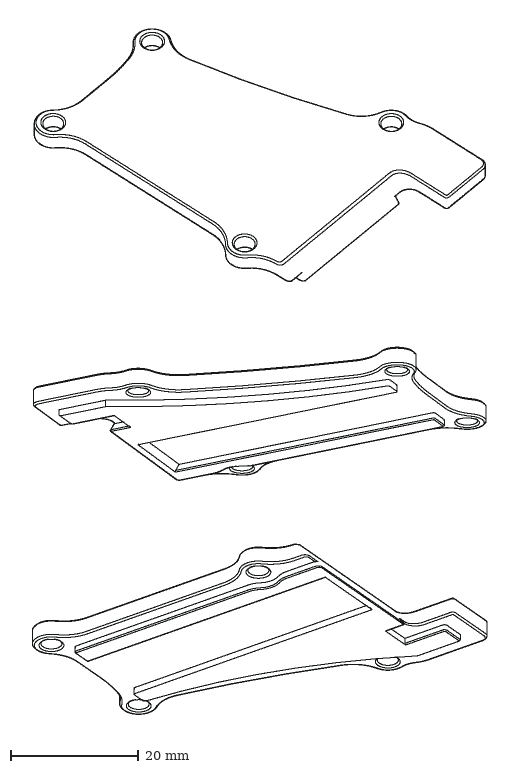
import math

import cadquery as cq

PLATE_THICKNESS = 3.0
EDGE_CHAMFER = 0.3
FRONT_Y = 0.0
LEFT_X = 0.0
BACK_Y = 38.51

HOLE_DIAMETER = 3.3
BOSS_RADIUS = 3.0
BLEND_RADIUS = 6.0
FRONT_LEFT = (0.0, 0.0)
FRONT_RIGHT = (40.0, 0.0)
BACK_LEFT = (0.0, 23.6)
BACK_RIGHT = (40.0, 35.0)
HOLES = [FRONT_LEFT, FRONT_RIGHT, BACK_LEFT, BACK_RIGHT]

LEFT_ARC_START_Y = 13.1
LEFT_ARC_RADIUS = 27.0
BACK_ARC_CENTER = (-32.6, 220.8)
BACK_ARC_RADIUS = 200.0

WAVE_DEPTH = 0.75
WAVE_VALLEY_RADIUS = 4.0
WAVE_CREST_RADIUS = 6.0

ARM_END_X = 57.4
ARM_FRONT_Y = 28.4
ARM_CORNER_RADIUS = 1.5
ARM_FRONT_CORNER_RADIUS = 0.5

WALL_TOP_X = 47.36
WALL_SLOPE = math.tan(math.radians(35.0))
NOTCH_CORNER_RADIUS = 1.9
WALL_FRONT_CORNER_RADIUS = 0.8

LIP_DEPTH = 1.1
LIP_LEFT_X = 2.6
LIP_FRONT_Y = 2.4
LIP_RIGHT_BACK_Y = 25.5
LIP_LEFT_BACK_Y = 21.4
LIP_BACK_Y = 34.6
LIP_BACK_START_X = 46.0
LIP_BACK_MID = (25.0, 25.6)
LIP_ARM_INNER_X = 46.5
LIP_ARM_FRONT_Y = 30.5
LIP_ARM_END_X = 54.3
LIP_CORNER_RADIUS = 0.5
LIP_WALL_FRONT_RADIUS = 0.7
LIP_WALL_BACK_RADIUS = 0.3
LIP_EDGE_CHAMFER = 0.2
LIP_RELIEF_RADIUS = 3.4
LIP_RELIEF_BLEND = 4.0

CHANNEL_FRONT_Y = 6.1
CHANNEL_BACK_Y = 18.5
CHANNEL_MOUTH_RADIUS = 0.3
CHANNEL_END_WIDTH = 1.5

OVERCUT = 10.0


def toward(start, end, distance):
    """Point at a distance from start in the direction of end."""
    length = math.dist(start, end)
    return (
        start[0] + (end[0] - start[0]) * distance / length,
        start[1] + (end[1] - start[1]) * distance / length,
    )


def circle_meeting(center_a, radius_a, center_b, radius_b):
    """Crossing of two circles that lies to the left of the ray from a to b."""
    gap = math.dist(center_a, center_b)
    along = (gap**2 + radius_a**2 - radius_b**2) / (2 * gap)
    aside = math.sqrt(radius_a**2 - along**2)
    ux = (center_b[0] - center_a[0]) / gap
    uy = (center_b[1] - center_a[1]) / gap
    return (center_a[0] + along * ux - aside * uy, center_a[1] + along * uy + aside * ux)


def arc_to(sketch, start, end, center):
    """Draw the shorter arc about center from start to end."""
    chord_middle = ((start[0] + end[0]) / 2, (start[1] + end[1]) / 2)
    return sketch.threePointArc(toward(center, chord_middle, math.dist(center, start)), end)


def boss_arc(sketch, boss, outward, end):
    """Draw round a boss through the point that faces the outward direction."""
    facing = (boss[0] + outward[0], boss[1] + outward[1])
    return sketch.threePointArc(toward(boss, facing, BOSS_RADIUS), end)


def plate_outline():
    """Plate outline, squared off on the right; the notch and sloped wall are cut later."""
    reach = BOSS_RADIUS + BLEND_RADIUS
    blend_run = math.sqrt(reach**2 - BLEND_RADIUS**2)

    fl_front = (FRONT_LEFT[0] + blend_run, FRONT_Y - BLEND_RADIUS)
    fl_left = (LEFT_X - BLEND_RADIUS, FRONT_LEFT[1] + blend_run)
    fr_left = (FRONT_RIGHT[0] - blend_run, FRONT_Y - BLEND_RADIUS)
    fr_right = (FRONT_RIGHT[0] + blend_run, FRONT_Y - BLEND_RADIUS)
    left_arc = (LEFT_X - LEFT_ARC_RADIUS, LEFT_ARC_START_Y)
    bl_left = circle_meeting(BACK_LEFT, reach, left_arc, LEFT_ARC_RADIUS - BLEND_RADIUS)
    back_reach = BACK_ARC_RADIUS - BLEND_RADIUS
    bl_back = circle_meeting(BACK_ARC_CENTER, back_reach, BACK_LEFT, reach)
    br_back = circle_meeting(BACK_RIGHT, reach, BACK_ARC_CENTER, back_reach)

    valley_y = BACK_Y - WAVE_DEPTH + WAVE_VALLEY_RADIUS
    valley_reach = BOSS_RADIUS + WAVE_VALLEY_RADIUS
    valley_x = BACK_RIGHT[0] + math.sqrt(valley_reach**2 - (valley_y - BACK_RIGHT[1])**2)
    valley = (valley_x, valley_y)
    crest_y = BACK_Y - WAVE_CREST_RADIUS
    crest_reach = WAVE_VALLEY_RADIUS + WAVE_CREST_RADIUS
    crest = (valley_x + math.sqrt(crest_reach**2 - (valley_y - crest_y)**2), crest_y)

    start = toward(FRONT_LEFT, fl_front, BOSS_RADIUS)
    sketch = cq.Workplane("XY").moveTo(*start)
    sketch = arc_to(sketch, start, (fl_front[0], FRONT_Y), fl_front)
    sketch = sketch.lineTo(fr_left[0], FRONT_Y)
    boss_start = toward(FRONT_RIGHT, fr_left, BOSS_RADIUS)
    boss_end = toward(FRONT_RIGHT, fr_right, BOSS_RADIUS)
    sketch = arc_to(sketch, (fr_left[0], FRONT_Y), boss_start, fr_left)
    sketch = boss_arc(sketch, FRONT_RIGHT, (0, -1), boss_end)
    sketch = arc_to(sketch, boss_end, (fr_right[0], FRONT_Y), fr_right)

    sketch = sketch.lineTo(ARM_END_X, FRONT_Y).lineTo(ARM_END_X, BACK_Y - ARM_CORNER_RADIUS)
    sketch = sketch.radiusArc((ARM_END_X - ARM_CORNER_RADIUS, BACK_Y), -ARM_CORNER_RADIUS)
    sketch = sketch.lineTo(crest[0], BACK_Y)
    inflection = toward(valley, crest, WAVE_VALLEY_RADIUS)
    boss_start = toward(BACK_RIGHT, valley, BOSS_RADIUS)
    sketch = arc_to(sketch, (crest[0], BACK_Y), inflection, crest)
    sketch = arc_to(sketch, inflection, boss_start, valley)

    boss_end = toward(BACK_RIGHT, br_back, BOSS_RADIUS)
    edge_start = toward(BACK_ARC_CENTER, br_back, BACK_ARC_RADIUS)
    edge_end = toward(BACK_ARC_CENTER, bl_back, BACK_ARC_RADIUS)
    boss_start = toward(BACK_LEFT, bl_back, BOSS_RADIUS)
    sketch = boss_arc(sketch, BACK_RIGHT, (-1, 2), boss_end)
    sketch = arc_to(sketch, boss_end, edge_start, br_back)
    sketch = arc_to(sketch, edge_start, edge_end, BACK_ARC_CENTER)
    sketch = arc_to(sketch, edge_end, boss_start, bl_back)
    boss_end = toward(BACK_LEFT, bl_left, BOSS_RADIUS)
    sketch = boss_arc(sketch, BACK_LEFT, (-1, 0), boss_end)

    edge_start = toward(left_arc, bl_left, LEFT_ARC_RADIUS)
    sketch = arc_to(sketch, boss_end, edge_start, bl_left)
    sketch = arc_to(sketch, edge_start, (LEFT_X, LEFT_ARC_START_Y), left_arc)
    sketch = sketch.lineTo(LEFT_X, fl_left[1])
    boss_end = toward(FRONT_LEFT, fl_left, BOSS_RADIUS)
    sketch = arc_to(sketch, (LEFT_X, fl_left[1]), boss_end, fl_left)
    sketch = boss_arc(sketch, FRONT_LEFT, (-1, -1), start)
    return sketch.close()


def wall_x(z):
    """X of the sloped wall at height z."""
    return WALL_TOP_X + WALL_SLOPE * (PLATE_THICKNESS - z)


def leaning_prism(outline, bottom):
    """Prism from a bottom level to the plate top that leans with the sloped wall."""
    height = PLATE_THICKNESS - bottom
    lean = cq.Vector(-WALL_SLOPE * height, 0, height)
    return cq.Workplane(cq.Solid.extrudeLinear(outline.wire().val(), [], lean))


def notch():
    """Space in front of the arm, bounded on the left by the sloped wall."""
    x = wall_x(-LIP_DEPTH)
    far_x = ARM_END_X + OVERCUT
    outline = (
        cq.Workplane("XY", origin=(0, 0, -LIP_DEPTH))
        .moveTo(x, -OVERCUT)
        .lineTo(far_x, -OVERCUT)
        .lineTo(far_x, ARM_FRONT_Y)
        .lineTo(x, ARM_FRONT_Y)
        .close()
    )
    return leaning_prism(outline, -LIP_DEPTH)


def wall_edge(z, y):
    """Selector of the sloped edge where the right wall meets a face at the given y."""
    return cq.selectors.NearestToPointSelector((wall_x(z), y, z))


def make_plate():
    """Plate with its arm and sloped wall, chamfered round the top and bottom."""
    middle_z = PLATE_THICKNESS / 2
    plate = plate_outline().extrude(PLATE_THICKNESS).cut(notch())
    arm_corner = cq.selectors.NearestToPointSelector((ARM_END_X, ARM_FRONT_Y, middle_z))
    plate = plate.edges(arm_corner).fillet(ARM_FRONT_CORNER_RADIUS)
    plate = plate.edges(wall_edge(middle_z, ARM_FRONT_Y)).fillet(NOTCH_CORNER_RADIUS)
    plate = plate.edges(wall_edge(middle_z, FRONT_Y)).fillet(WALL_FRONT_CORNER_RADIUS)
    return plate.faces("<Z or >Z").edges().chamfer(EDGE_CHAMFER)


def lip_outline():
    """Lip outline: a main body with a short arm at the back right."""
    right_x = wall_x(-LIP_DEPTH) + OVERCUT
    return (
        cq.Workplane("XY", origin=(0, 0, -LIP_DEPTH))
        .moveTo(LIP_LEFT_X, LIP_FRONT_Y)
        .lineTo(right_x, LIP_FRONT_Y)
        .lineTo(right_x, LIP_RIGHT_BACK_Y)
        .lineTo(LIP_ARM_INNER_X, LIP_RIGHT_BACK_Y)
        .lineTo(LIP_ARM_INNER_X, LIP_ARM_FRONT_Y)
        .lineTo(LIP_ARM_END_X, LIP_ARM_FRONT_Y)
        .lineTo(LIP_ARM_END_X, LIP_BACK_Y)
        .lineTo(LIP_BACK_START_X, LIP_BACK_Y)
        .threePointArc(LIP_BACK_MID, (LIP_LEFT_X, LIP_LEFT_BACK_Y))
        .close()
    )


def vertical_edge(x, y):
    """Selector of a vertical lip edge."""
    return cq.selectors.NearestToPointSelector((x, y, -LIP_DEPTH / 2))


def channel():
    """Channel across the lip whose right end runs parallel to the sloped wall."""
    left_x = LIP_LEFT_X - OVERCUT
    end_x = wall_x(-LIP_DEPTH) - CHANNEL_END_WIDTH
    outline = (
        cq.Workplane("XY", origin=(0, 0, -LIP_DEPTH))
        .moveTo(left_x, CHANNEL_FRONT_Y)
        .lineTo(end_x, CHANNEL_FRONT_Y)
        .lineTo(end_x, CHANNEL_BACK_Y)
        .lineTo(left_x, CHANNEL_BACK_Y)
        .close()
    )
    return leaning_prism(outline, -LIP_DEPTH)


def screw_relief():
    """Rounded recess that keeps the lip front edge clear of the front-right screw."""
    reach = LIP_RELIEF_RADIUS + LIP_RELIEF_BLEND
    blend_y = LIP_FRONT_Y + LIP_RELIEF_BLEND
    blend_run = math.sqrt(reach**2 - (blend_y - FRONT_RIGHT[1])**2)
    left_blend = (FRONT_RIGHT[0] - blend_run, blend_y)
    right_blend = (FRONT_RIGHT[0] + blend_run, blend_y)
    start = (left_blend[0], LIP_FRONT_Y)
    end = (right_blend[0], LIP_FRONT_Y)
    relief_start = toward(FRONT_RIGHT, left_blend, LIP_RELIEF_RADIUS)
    relief_end = toward(FRONT_RIGHT, right_blend, LIP_RELIEF_RADIUS)
    sketch = cq.Workplane("XY", origin=(0, 0, -LIP_DEPTH)).moveTo(*start)
    sketch = arc_to(sketch, start, relief_start, left_blend)
    sketch = arc_to(sketch, relief_start, relief_end, FRONT_RIGHT)
    sketch = arc_to(sketch, relief_end, end, right_blend)
    return sketch.close().extrude(LIP_DEPTH + EDGE_CHAMFER)


def make_lip():
    """Lip, set into the plate by the chamfer height so that the sloped wall runs through."""
    lip = lip_outline().extrude(LIP_DEPTH + EDGE_CHAMFER)
    lip = lip.cut(notch()).cut(screw_relief()).cut(channel())
    for y in (LIP_FRONT_Y, LIP_LEFT_BACK_Y):
        lip = lip.edges(vertical_edge(LIP_LEFT_X, y)).fillet(LIP_CORNER_RADIUS)
    for y in (CHANNEL_FRONT_Y, CHANNEL_BACK_Y):
        lip = lip.edges(vertical_edge(LIP_LEFT_X, y)).fillet(CHANNEL_MOUTH_RADIUS)
    lip = lip.edges(vertical_edge(LIP_ARM_END_X, LIP_ARM_FRONT_Y)).fillet(LIP_CORNER_RADIUS)
    middle_z = (EDGE_CHAMFER - LIP_DEPTH) / 2
    lip = lip.edges(wall_edge(middle_z, LIP_FRONT_Y)).fillet(LIP_WALL_FRONT_RADIUS)
    lip = lip.edges(wall_edge(middle_z, LIP_RIGHT_BACK_Y)).fillet(LIP_WALL_BACK_RADIUS)

    arm_edges = cq.selectors.BoxSelector(
        (LIP_ARM_INNER_X + LIP_CORNER_RADIUS, LIP_RIGHT_BACK_Y, -2 * LIP_DEPTH),
        (ARM_END_X, LIP_BACK_Y - LIP_CORNER_RADIUS, -LIP_DEPTH / 2),
    )
    return lip.faces("<Z").edges(arm_edges).chamfer(LIP_EDGE_CHAMFER)


def make_holes():
    """Screw holes, chamfered at the plate top and bottom."""
    radius = HOLE_DIAMETER / 2
    mouth_radius = radius + EDGE_CHAMFER
    profile = (
        cq.Workplane("XZ")
        .polyline([
            (0, 0),
            (mouth_radius, 0),
            (radius, EDGE_CHAMFER),
            (radius, PLATE_THICKNESS - EDGE_CHAMFER),
            (mouth_radius, PLATE_THICKNESS),
            (0, PLATE_THICKNESS),
        ])
        .close()
    )
    cutter = profile.revolve(360, (0, 0, 0), (0, 1, 0))
    holes = cq.Workplane("XY")
    for x, y in HOLES:
        holes = holes.add(cutter.translate((x, y, 0)))
    return holes.combine()


result = make_plate().cut(make_holes()).union(make_lip())